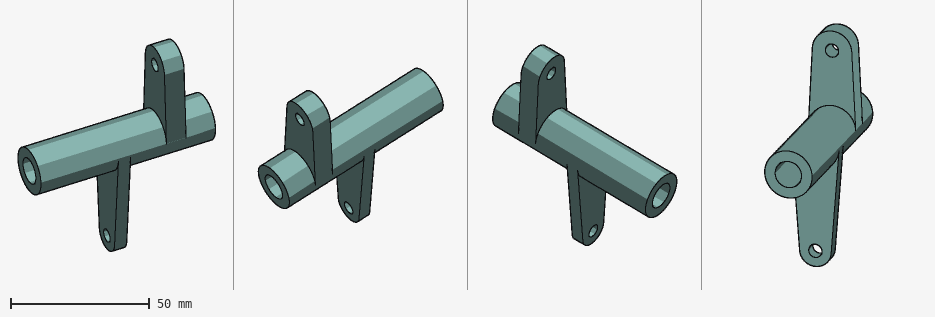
import cadquery as cq
import math

tube_length = 71.0
tube_radius = 9.0
bore_diameter = 10.0

pin_hole_diameter = 5.0

upper_reach = 30.0
upper_tip_radius = 7.5
upper_thickness = 8.0
upper_setback = 12.0

lower_reach = 40.0
lower_tip_radius = 6.0
lower_thickness = 5.0
lower_setback = 34.5

back_end = tube_length / 2


def plane_at(y):
    """XZ plane at the given Y; extrusion from it runs toward -Y."""
    return cq.Workplane("XZ", origin=(0, y, 0))


def make_tube_body():
    return plane_at(back_end).circle(tube_radius).extrude(tube_length)


def make_arm(direction, reach, tip_radius, thickness, setback):
    """Arm whose straight sides are tangent to both the tube and the tip.

    direction is +1 for an arm pointing up and -1 for one pointing down.
    """
    tangent_angle = math.asin((tube_radius - tip_radius) / reach)
    root_x = tube_radius * math.cos(tangent_angle)
    root_z = direction * tube_radius * math.sin(tangent_angle)
    tip_x = tip_radius * math.cos(tangent_angle)
    tip_z = direction * (reach + tip_radius * math.sin(tangent_angle))
    tip_end_z = direction * (reach + tip_radius)

    start = plane_at(back_end - setback)
    arm = (
        start.moveTo(root_x, root_z)
        .lineTo(tip_x, tip_z)
        .threePointArc((0, tip_end_z), (-tip_x, tip_z))
        .lineTo(-root_x, root_z)
        .threePointArc((0, -direction * tube_radius), (root_x, root_z))
        .close()
        .extrude(thickness)
    )
    pin_hole = start.center(0, direction * reach).circle(pin_hole_diameter / 2).extrude(thickness)
    return arm.cut(pin_hole)


def make_bore():
    return plane_at(back_end).circle(bore_diameter / 2).extrude(tube_length)


upper_arm = make_arm(1, upper_reach, upper_tip_radius, upper_thickness, upper_setback)
lower_arm = make_arm(-1, lower_reach, lower_tip_radius, lower_thickness, lower_setback)

result = make_tube_body().union(upper_arm).union(lower_arm).cut(make_bore())